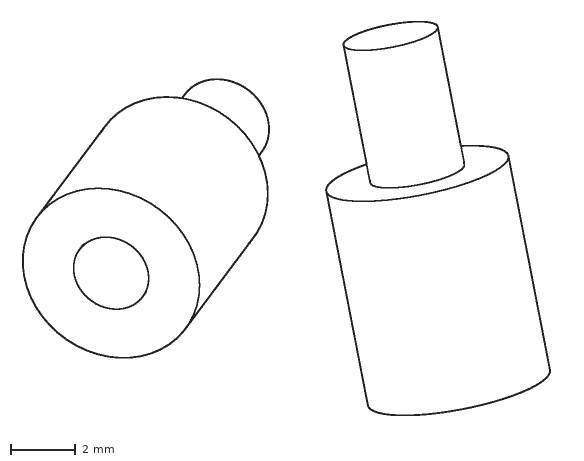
import cadquery as cq

total_length = 11.5
body_length = 7.0
body_diameter = 5.8
pin_diameter = 3.0
bore_diameter = 2.46
bore_depth = body_length

pin_length = total_length - body_length


def cylinder_along_y(diameter, start_y, length):
    """Solid cylinder on the Y axis, running from start_y toward +Y."""
    return cq.Workplane("XZ", origin=(0, start_y, 0)).circle(diameter / 2).extrude(-length)


body = cylinder_along_y(body_diameter, 0, body_length)
pin = cylinder_along_y(pin_diameter, body_length, pin_length)

bore = cylinder_along_y(bore_diameter, 0, bore_depth)

result = body.union(pin).cut(bore)